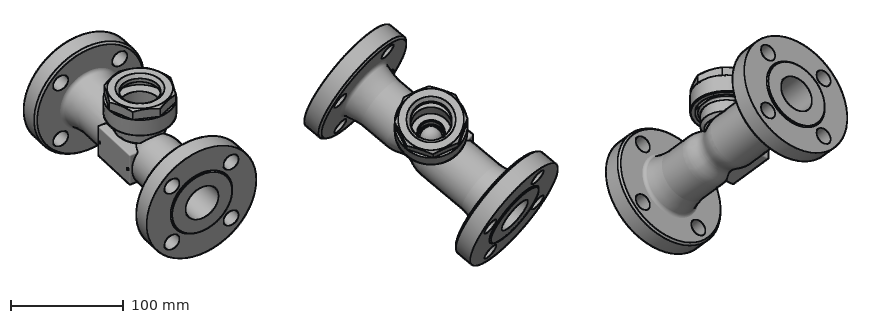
import cadquery as cq

overall_length = 200.0
overall_height = 122.5
flange_diameter = 117.0
flange_back = 80.0
raised_face_height = 1.0
raised_face_diameter = 63.5
raised_face_base_diameter = 66.0
back_bevel = 2.0
bolt_hole_diameter = 16.0
bolt_circle_diameter = 89.0
bolt_count = 4

pipe_diameter = 51.5
hub_start = 60.0
hub_end = 76.5
hub_diameter = 58.0
hub_fillet_height = 3.0
hub_fillet_radius = 4.0
hub_sag = 0.5
waist_center = 10.0
waist_length = 40.0
waist_diameter = 42.5
bore_diameter = 35.0
partition_length = waist_length

pad_length = 51.5
pad_height = 34.0
pad_front = 28.0
pad_rounding = 1.5
rivet_diameter = 2.5
rivet_spacing = 45.8

neck_diameter = 47.0
neck_foot_diameter = 40.0
neck_bottom = 20.5
neck_top = 32.5
neck_groove_diameter = 45.5
neck_groove_height = 1.0
collar_diameter = 51.0
thread_diameter = 56.0
thread_top = 46.0
chamber_diameter = 37.0
chamber_floor = 30.0
seat_diameter = 23.0
seat_mouth_diameter = 25.0
seat_floor = 20.0
dome_diameter = 20.0

cap_diameter = 65.0
cap_bottom = 35.2
cap_top = overall_height - flange_diameter / 2
octagon_bottom = 53.2
octagon_sides = 8
cap_crown_diameter = 58.5
crown_bevel_height = 2.0
cap_bottom_bevel = 0.8
window_diameter = 37.0
window_mouth_diameter = 43.8
lip_height = 7.2

origin = (0, 0, 0)


def revolve_about_z(points):
    """Full turn about Z of a closed outline given as (radius, height) points."""
    return cq.Workplane("XZ").polyline(points).close().revolve(360, origin, (0, 1, 0))


def make_flange():
    """Flange with raised face and swollen hub at the +X end, without its holes."""
    pipe_radius = pipe_diameter / 2
    hub_radius = hub_diameter / 2
    flange_radius = flange_diameter / 2
    face = overall_length / 2
    flange_front = face - raised_face_height
    hub_middle = ((hub_start + hub_end) / 2, (pipe_radius + hub_radius) / 2 - hub_sag)
    return (
        cq.Workplane("XY")
        .moveTo(hub_start, 0)
        .lineTo(hub_start, pipe_radius)
        .threePointArc(hub_middle, (hub_end, hub_radius))
        .radiusArc((flange_back, hub_radius + hub_fillet_height), -hub_fillet_radius)
        .lineTo(flange_back, flange_radius - back_bevel)
        .lineTo(flange_back + back_bevel, flange_radius)
        .lineTo(flange_front, flange_radius)
        .lineTo(flange_front, raised_face_base_diameter / 2)
        .lineTo(face, raised_face_diameter / 2)
        .lineTo(face, 0)
        .close()
        .revolve(360, origin, (1, 0, 0))
    )


def make_pipe():
    """Straight pipe between the hubs with a smooth waist."""
    pipe_radius = pipe_diameter / 2
    waist_start = (waist_center - waist_length / 2, pipe_radius)
    waist_middle = (waist_center, waist_diameter / 2)
    waist_end = (waist_center + waist_length / 2, pipe_radius)
    along = (1, 0)
    return (
        cq.Workplane("XY")
        .moveTo(-hub_start, 0)
        .lineTo(-hub_start, pipe_radius)
        .lineTo(*waist_start)
        .spline([waist_middle, waist_end], tangents=[along, along, along], includeCurrent=True)
        .lineTo(hub_start, pipe_radius)
        .lineTo(hub_start, 0)
        .close()
        .revolve(360, origin, (1, 0, 0))
    )


def make_pad():
    """Flat name plate pad with rounded edges and two round-headed rivets."""
    pad = (
        cq.Workplane("XZ")
        .rect(pad_length, pad_height)
        .extrude(pad_front)
        .edges("|Y or <Y")
        .fillet(pad_rounding)
    )
    rivets = (
        cq.Workplane("XZ", origin=(0, -pad_front, 0))
        .rarray(rivet_spacing, 2, 2, 1)
        .sphere(rivet_diameter / 2)
    )
    return pad.union(rivets)


def make_neck():
    """Neck that rises from the pipe to the threaded collar inside the cap."""
    neck_radius = neck_diameter / 2
    foot_height = (neck_diameter - neck_foot_diameter) / 2
    groove_bottom = (neck_groove_diameter / 2, neck_top + neck_groove_height)
    return (
        cq.Workplane("XZ")
        .lineTo(neck_foot_diameter / 2, 0)
        .lineTo(neck_foot_diameter / 2, neck_bottom - foot_height)
        .lineTo(neck_radius, neck_bottom)
        .lineTo(neck_radius, neck_top)
        .threePointArc(groove_bottom, (collar_diameter / 2, cap_bottom))
        .lineTo(thread_diameter / 2, cap_bottom)
        .lineTo(thread_diameter / 2, thread_top)
        .lineTo(0, thread_top)
        .close()
        .revolve(360, origin, (0, 1, 0))
    )


def make_chamber():
    """Empty space inside the neck, with a dome standing on the seat floor."""
    mouth_depth = (seat_mouth_diameter - seat_diameter) / 2
    floor_bevel = (seat_diameter - dome_diameter) / 2
    space = revolve_about_z([
        (0, seat_floor),
        (dome_diameter / 2, seat_floor),
        (seat_diameter / 2, seat_floor + floor_bevel),
        (seat_diameter / 2, chamber_floor - mouth_depth),
        (seat_mouth_diameter / 2, chamber_floor),
        (chamber_diameter / 2, chamber_floor),
        (chamber_diameter / 2, thread_top),
        (0, thread_top),
    ])
    dome = cq.Workplane("XY", origin=(0, 0, seat_floor)).sphere(dome_diameter / 2)
    return space.cut(dome)


def make_bore(end, partition_face):
    """Blind bore from an outer flange face to the solid partition under the waist."""
    return (
        cq.Workplane("YZ", origin=(end, 0, 0))
        .circle(bore_diameter / 2)
        .extrude(partition_face - end)
    )


def make_bolt_holes():
    return (
        cq.Workplane("YZ", origin=(-overall_length / 2, 0, 0))
        .polarArray(bolt_circle_diameter / 2, 180 / bolt_count, 360, bolt_count)
        .circle(bolt_hole_diameter / 2)
        .extrude(overall_length)
    )


def make_housing():
    flange = make_flange()
    body = make_pipe().union(flange).union(flange.mirror("YZ")).union(make_pad()).union(make_neck())
    left_bore = make_bore(-overall_length / 2, waist_center - partition_length / 2)
    right_bore = make_bore(overall_length / 2, waist_center + partition_length / 2)
    return body.cut(left_bore).cut(right_bore).cut(make_chamber()).cut(make_bolt_holes())


def make_cap():
    """Screw cap: round skirt, octagon with a conical bevel, and a sight window."""
    cap_radius = cap_diameter / 2
    skirt = (
        cq.Workplane("XY", origin=(0, 0, cap_bottom))
        .circle(cap_radius)
        .extrude(octagon_bottom - cap_bottom)
        .faces("<Z")
        .chamfer(cap_bottom_bevel)
    )
    octagon = (
        cq.Workplane("XY", origin=(0, 0, octagon_bottom))
        .polygon(octagon_sides, cap_diameter)
        .extrude(cap_top - octagon_bottom)
    )
    crown = revolve_about_z([
        (0, octagon_bottom),
        (cap_radius, octagon_bottom),
        (cap_radius, cap_top - crown_bevel_height),
        (cap_crown_diameter / 2, cap_top),
        (0, cap_top),
    ])
    mouth_depth = (window_mouth_diameter - window_diameter) / 2
    lip_bottom = cap_top - lip_height
    opening = revolve_about_z([
        (0, cap_bottom),
        (thread_diameter / 2, cap_bottom),
        (thread_diameter / 2, lip_bottom),
        (window_diameter / 2, lip_bottom),
        (window_diameter / 2, cap_top - mouth_depth),
        (window_mouth_diameter / 2, cap_top),
        (0, cap_top),
    ])
    return skirt.union(octagon.intersect(crown)).cut(opening)


housing = make_housing()
cap = make_cap()

result = cq.Compound.makeCompound([housing.val(), cap.val()])